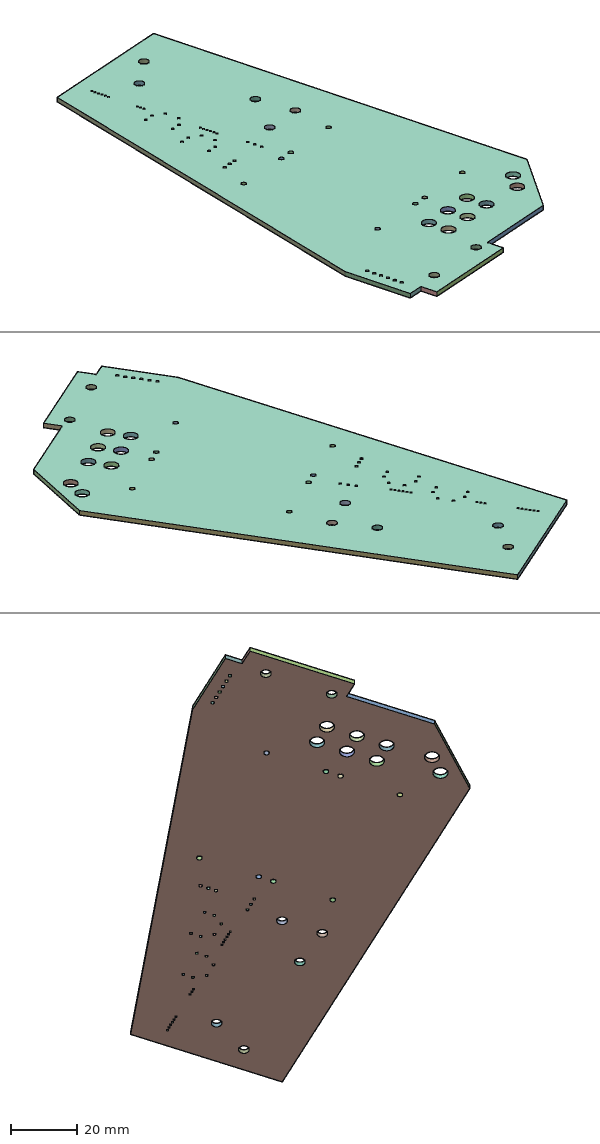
import cadquery as cq

BOARD_LENGTH = 165.0
BOARD_WIDTH = 90.0
THICKNESS = 1.58
TAB_DEPTH = 5.9
TAB_BOTTOM_Y = 5.5
TAB_TOP_Y = 40.0
LEFT_EDGE_BOTTOM_Y = 40.0
TAPER_END_X = 135.0
CORNER_CUT = 21.0
BODY_LENGTH = BOARD_LENGTH - TAB_DEPTH

MOUNT_DIAMETER = 3.2
LARGE_DIAMETER = 4.5
MODULE_DIAMETER = 1.65
HEADER_DIAMETER = 1.0
SWITCH_DIAMETER = 0.8
SENSOR_DIAMETER = 0.8
CONNECTOR_DIAMETER = 0.6

MOUNT_POINTS = [
    (8.0, 73.75),
    (49.25, 73.75),
    (15.0, 61.6),
    (63.2, 74.9),
    (63.2, 61.6),
    (158.1, 35.5),
    (158.1, 13.8),
]

GRID_CENTER = (141.15, 49.75)
GRID_COLUMN_PITCH = 7.25
GRID_ROW_PITCH = 9.85
GRID_ROWS = 3
DIAGONAL_PAIR_POINTS = [(140.6, 79.2), (145.8, 74.1)]

MODULE_CENTER_X = 102.35
MODULE_CENTERS_Y = (62.1, 37.7)
MODULE_HOLE_SPAN_X = 49.5
MODULE_HOLE_SPAN_Y = 19.6

HEADER_PITCH = 2.54
SIX_PIN_HEADER_START = (140.15, 4.3)
SIX_PIN_HEADER_COUNT = 6
COLUMN_HEADER_START = (66.9, 33.1)
SENSOR_START = (63.25, 50.2)
THREE_PIN_COUNT = 3

CONNECTOR_PITCH = 1.25
CONNECTOR_Y = 49.3
CONNECTORS = [(6.2, 6), (23.0, 3), (46.3, 6)]

SWITCH_CENTERS = [(35.0, 47.1), (52.0, 42.05)]
SWITCH_TOP_SPAN = 5.0
SWITCH_TOP_OFFSET = 3.4
SWITCH_SIDE_SPAN = 10.0
SWITCH_SIDE_PITCH = 3.2


def make_board():
    outline = [
        (0, BOARD_WIDTH),
        (BODY_LENGTH - CORNER_CUT, BOARD_WIDTH),
        (BODY_LENGTH, BOARD_WIDTH - CORNER_CUT),
        (BODY_LENGTH, TAB_TOP_Y),
        (BOARD_LENGTH, TAB_TOP_Y),
        (BOARD_LENGTH, TAB_BOTTOM_Y),
        (BODY_LENGTH, TAB_BOTTOM_Y),
        (BODY_LENGTH, 0),
        (TAPER_END_X, 0),
        (0, LEFT_EDGE_BOTTOM_Y),
    ]
    return cq.Workplane("XY").polyline(outline).close().extrude(THICKNESS)


def row_points(start, pitch, count):
    """Points stepping along +X from the start point."""
    return [(start[0] + i * pitch, start[1]) for i in range(count)]


def column_points(start, pitch, count):
    """Points stepping along +Y from the start point."""
    return [(start[0], start[1] + i * pitch) for i in range(count)]


def large_points():
    points = list(DIAGONAL_PAIR_POINTS)
    bottom_y = GRID_CENTER[1] - GRID_ROW_PITCH * (GRID_ROWS - 1) / 2
    for side in (-1, 1):
        column_x = GRID_CENTER[0] + side * GRID_COLUMN_PITCH / 2
        points += column_points((column_x, bottom_y), GRID_ROW_PITCH, GRID_ROWS)
    return points


def module_points():
    points = []
    left_x = MODULE_CENTER_X - MODULE_HOLE_SPAN_X / 2
    for center_y in MODULE_CENTERS_Y:
        for side in (-1, 1):
            row_start = (left_x, center_y + side * MODULE_HOLE_SPAN_Y / 2)
            points += row_points(row_start, MODULE_HOLE_SPAN_X, 2)
    return points


def header_points():
    six_pin = row_points(SIX_PIN_HEADER_START, HEADER_PITCH, SIX_PIN_HEADER_COUNT)
    return six_pin + column_points(COLUMN_HEADER_START, HEADER_PITCH, THREE_PIN_COUNT)


def sensor_points():
    return row_points(SENSOR_START, HEADER_PITCH, THREE_PIN_COUNT)


def connector_points():
    points = []
    for first_x, count in CONNECTORS:
        points += row_points((first_x, CONNECTOR_Y), CONNECTOR_PITCH, count)
    return points


def switch_points():
    points = []
    for center_x, center_y in SWITCH_CENTERS:
        for side in (-1, 1):
            side_x = center_x + side * SWITCH_SIDE_SPAN / 2
            points.append((center_x + side * SWITCH_TOP_SPAN / 2, center_y + SWITCH_TOP_OFFSET))
            points += column_points((side_x, center_y - SWITCH_SIDE_PITCH), SWITCH_SIDE_PITCH, 2)
    return points


def drill(board, points, diameter):
    """Cut through holes of one diameter at all the points."""
    cylinders = cq.Workplane("XY").pushPoints(points).circle(diameter / 2).extrude(THICKNESS)
    return board.cut(cylinders)


result = make_board()
result = drill(result, MOUNT_POINTS, MOUNT_DIAMETER)
result = drill(result, large_points(), LARGE_DIAMETER)
result = drill(result, module_points(), MODULE_DIAMETER)
result = drill(result, header_points(), HEADER_DIAMETER)
result = drill(result, sensor_points(), SENSOR_DIAMETER)
result = drill(result, connector_points(), CONNECTOR_DIAMETER)
result = drill(result, switch_points(), SWITCH_DIAMETER)